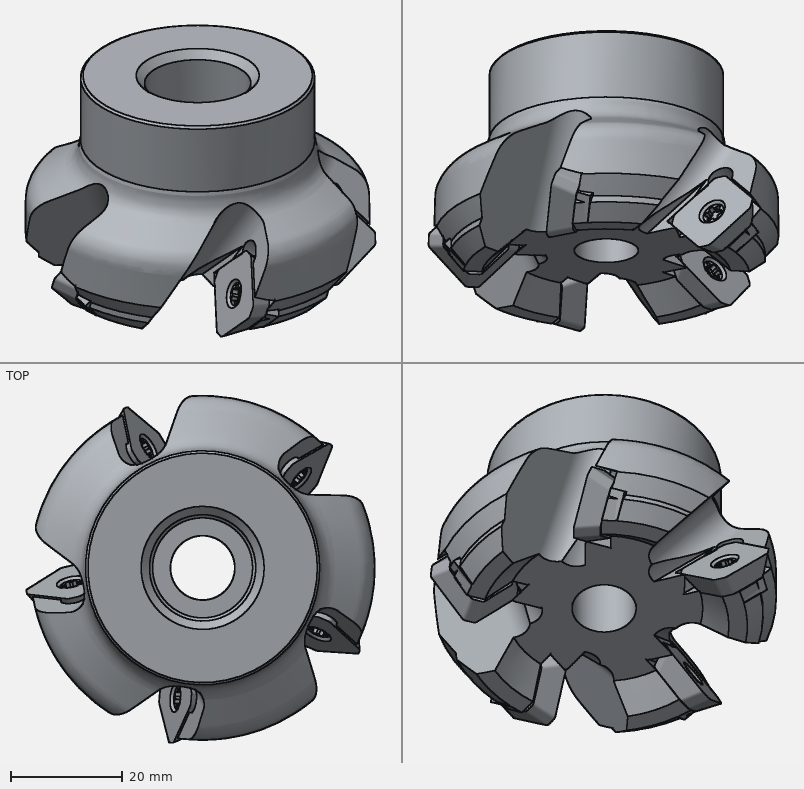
import cadquery as cq
import math


total_height = 40.0
insert_count = 5
first_insert_angle = 43.3
insert_pitch = 360 / insert_count

neck_radius = 21.0
neck_chamfer = 0.45
collar_radius = 21.25
collar_top = 27.1
collar_bottom = 26.4
body_radius = 30.9
shoulder_slope = 30.0
shoulder_fillet = 5.0
body_lower_edge = 8.45
relief_radius = 28.5
relief_top = 5.05
relief_bottom = 3.9
rim_height = 1.05
rim_inner_radius = 22.4
recess_ceiling = 5.75

bore_diameter = 19.1
bore_depth = 18.75
bore_mouth_chamfer = 1.5
bore_floor_chamfer = 0.55
screw_hole_diameter = 11.5

insert_edge = 13.15
insert_corner_flat = 2.25
insert_corner_blend = 0.95
insert_thickness = 4.3
insert_clearance_angle = 20.0
axial_rake = 20.5
radial_rake = 5.5
insert_center_radius = 23.75
insert_center_lead = 0.5
head_ring_diameter = 5.25
head_top_diameter = 4.1
head_depth = 0.5
socket_diameter = 3.5
socket_depth = 1.25
socket_lobes = 6
lobe_diameter = 0.9

flute_radius = 4.25
flute_wall_depth = 0.2
flute_lean = 27.0
flute_opening_angle = 31.0
flute_inset = 5.0
flute_reach = 37.5

pocket_gap = 0.4
corner_relief_radius = 2.5
corner_relief_drop = 0.25
headroom_radius = 4.7
headroom_setback = 3.45
headroom_rise = 0.3
headroom_overrun = 6.25

lug_length = 2.6
lug_reach = 4.7
lug_top = 3.75


def sin(angle):
    return math.sin(math.radians(angle))


def cos(angle):
    return math.cos(math.radians(angle))


def tan(angle):
    return math.tan(math.radians(angle))


face_normal = cq.Vector(
    sin(radial_rake) * cos(axial_rake),
    -cos(radial_rake) * cos(axial_rake),
    sin(axial_rake),
)
face_across = cq.Vector(cos(radial_rake), sin(radial_rake), 0)
face_up = face_normal.cross(face_across)
insert_half_diagonal = insert_edge / math.sqrt(2) - insert_corner_flat / 2
face_center = cq.Vector(insert_center_radius, -insert_center_lead, insert_half_diagonal * face_up.z)
face_plane = cq.Plane(origin=face_center, xDir=face_across, normal=face_normal)

edge_direction = (face_across + face_up).normalized()
inner_side = (face_up - face_across).normalized()
edge_plane = cq.Plane(origin=face_center, xDir=edge_direction, normal=face_normal)


def at_insert(shape, index):
    """Turn a shape made for the +X axis to the insert position with this index."""
    return shape.rotate((0, 0, 0), (0, 0, 1), first_insert_angle + index * insert_pitch)


def make_turned_body():
    """Revolve the outside, then hollow the underside and bore the middle."""
    fillet_turn = 90 - shoulder_slope
    fillet_width = shoulder_fillet * (1 - sin(shoulder_slope))
    fillet_height = shoulder_fillet * cos(shoulder_slope)
    mid_width = shoulder_fillet * (1 - cos(fillet_turn / 2))
    mid_height = shoulder_fillet * sin(fillet_turn / 2)
    cone_inner = collar_radius + fillet_width
    cone_outer = body_radius - fillet_width
    cone_top = collar_bottom - fillet_height
    cone_bottom = cone_top - (cone_outer - cone_inner) * tan(shoulder_slope)
    cylinder_top = cone_bottom - fillet_height
    rim_outer_radius = relief_radius - (relief_bottom - rim_height)
    recess_radius = rim_inner_radius - (recess_ceiling - rim_height)
    bore_radius = bore_diameter / 2
    bore_floor = total_height - bore_depth
    hole_radius = screw_hole_diameter / 2
    return (
        cq.Workplane("XZ")
        .moveTo(hole_radius, recess_ceiling)
        .lineTo(recess_radius, recess_ceiling)
        .lineTo(rim_inner_radius, rim_height)
        .lineTo(rim_outer_radius, rim_height)
        .lineTo(relief_radius, relief_bottom)
        .lineTo(relief_radius, relief_top)
        .lineTo(body_radius, body_lower_edge)
        .lineTo(body_radius, cylinder_top)
        .threePointArc((body_radius - mid_width, cylinder_top + mid_height), (cone_outer, cone_bottom))
        .lineTo(cone_inner, cone_top)
        .threePointArc((collar_radius + mid_width, collar_bottom - mid_height), (collar_radius, collar_bottom))
        .lineTo(neck_radius, collar_top)
        .lineTo(neck_radius, total_height - neck_chamfer)
        .lineTo(neck_radius - neck_chamfer, total_height)
        .lineTo(bore_radius + bore_mouth_chamfer, total_height)
        .lineTo(bore_radius, total_height - bore_mouth_chamfer)
        .lineTo(bore_radius, bore_floor + bore_floor_chamfer)
        .lineTo(bore_radius - bore_floor_chamfer, bore_floor)
        .lineTo(hole_radius, bore_floor)
        .close()
        .revolve(360, (0, 0, 0), (0, 1, 0))
    )


def make_flute():
    """Volume cut away for one flute: round root, one wall along the insert face, one flared wall."""
    root_axis = face_up * cos(flute_lean) + face_across * sin(flute_lean)
    outward = face_across * cos(flute_lean) - face_up * sin(flute_lean)
    start = face_center + root_axis * flute_reach
    section = cq.Plane(origin=start, xDir=outward, normal=-root_axis)
    root_y = flute_radius - flute_wall_depth
    flare_x = -flute_inset - flute_radius * sin(flute_opening_angle)
    flare_y = root_y + flute_radius * cos(flute_opening_angle)
    flare_end_y = flare_y + (flute_reach - flare_x) * tan(flute_opening_angle)
    return (
        cq.Workplane(section)
        .moveTo(-flute_inset, -flute_wall_depth)
        .lineTo(flute_reach, -flute_wall_depth)
        .lineTo(flute_reach, flare_end_y)
        .lineTo(flare_x, flare_y)
        .threePointArc((-flute_inset - flute_radius, root_y), (-flute_inset, -flute_wall_depth))
        .close()
        .extrude(2 * flute_reach)
    )


def insert_outline(edge):
    """Square with cut and softened corners; its sides run diagonally in the face frame."""
    return (
        cq.Sketch()
        .rect(edge, edge)
        .vertices()
        .chamfer(insert_corner_flat / math.sqrt(2))
        .reset()
        .vertices()
        .fillet(insert_corner_blend)
    )


def make_insert_blank():
    """Insert narrowing from its face to its seat, so that every flank has clearance."""
    seat_edge = insert_edge - 2 * insert_thickness * tan(insert_clearance_angle)
    seat = cq.Location(cq.Vector(0, 0, -insert_thickness))
    return (
        cq.Workplane(edge_plane)
        .placeSketch(insert_outline(insert_edge), insert_outline(seat_edge).moved(seat))
        .loft()
    )


def make_insert():
    """Insert with its clamping screw head: a countersink and a six-lobed socket."""
    ring = (
        cq.Workplane(face_plane)
        .circle(head_ring_diameter / 2)
        .workplane(offset=-head_depth)
        .circle(head_top_diameter / 2)
        .loft()
    )
    lobe_circle_radius = (socket_diameter - lobe_diameter) / 2
    socket = cq.Workplane(face_plane).circle(lobe_circle_radius).extrude(-head_depth - socket_depth)
    lobes = (
        cq.Workplane(face_plane)
        .polarArray(lobe_circle_radius, 0, 360, socket_lobes)
        .circle(lobe_diameter / 2)
        .extrude(-head_depth - socket_depth)
    )
    return make_insert_blank().cut(ring).cut(socket).cut(lobes)


def make_pocket():
    """Straight recess for one insert, with a gap at its upper outer edge and a relieved upper corner.

    A groove along the inner edge, above the face, keeps the flute root clear of the insert.
    """
    relief = (
        cq.Workplane(face_plane)
        .center(0, insert_half_diagonal - corner_relief_drop)
        .circle(corner_relief_radius)
        .extrude(-insert_thickness)
    )
    seat_box = (
        cq.Workplane(edge_plane)
        .center(pocket_gap / 2, 0)
        .rect(insert_edge + pocket_gap, insert_edge)
        .extrude(-insert_thickness)
    )
    groove_start = (
        face_center
        + inner_side * (insert_edge / 2 - headroom_setback)
        + face_normal * headroom_rise
        - edge_direction * (insert_edge / 2 + headroom_overrun)
    )
    groove = (
        cq.Workplane(cq.Plane(origin=groove_start, xDir=inner_side, normal=edge_direction))
        .circle(headroom_radius)
        .extrude(insert_edge + headroom_overrun)
    )
    groove_span = 4 * insert_edge
    above_face = cq.Workplane(face_plane).rect(groove_span, groove_span).extrude(2 * headroom_radius)
    headroom = groove.intersect(above_face)
    return seat_box.union(headroom).union(relief)


def make_lug():
    """Block that backs the lower outer edge of one insert, flush with the rim below."""
    block = (
        cq.Workplane(edge_plane)
        .rect(2 * lug_top, 2 * lug_reach)
        .extrude(-insert_thickness - lug_length)
    )
    above_rim = cq.Workplane("XY", origin=(0, 0, rim_height)).circle(2 * body_radius).extrude(total_height)
    return block.intersect(above_rim)


body = make_turned_body()
flute = make_flute()
pocket = make_pocket()
lug = make_lug()
insert = make_insert()
inserts = []
for index in range(insert_count):
    body = body.union(at_insert(lug, index))
for index in range(insert_count):
    body = body.cut(at_insert(flute, index)).cut(at_insert(pocket, index))
    inserts.append(at_insert(insert, index))

result = cq.Compound.makeCompound([body.val()] + [placed.val() for placed in inserts])